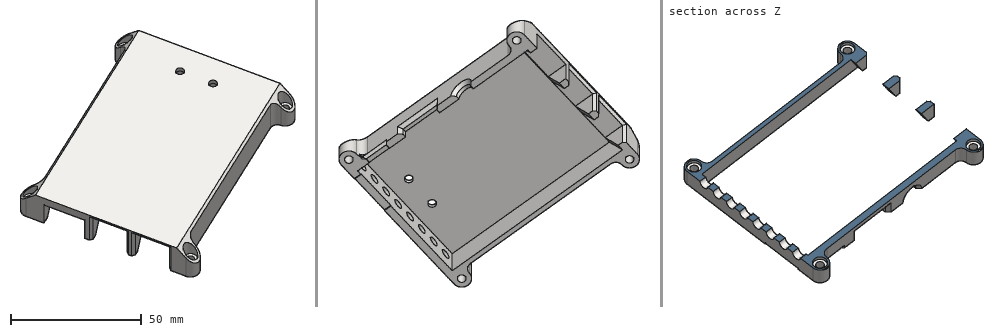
import cadquery as cq
import math

LENGTH = 90.6
HEIGHT = 15.0
BODY_WIDTH = 62.0
OVERLAP = 1.0

LUG_RADIUS = 3.8
LUG_X = 34.0
LUG_Y = LENGTH / 2 - LUG_RADIUS
LUG_BLEND = LUG_X - BODY_WIDTH / 2
SCREW_DIAMETER = 3.3
SCREW_HEAD_DIAMETER = 5.6
SCREW_SEAT_Z = 6.2
OVERALL_WIDTH = 2 * (LUG_X + LUG_RADIUS)

TOP_WIDTH = 60.0
SLOPE = (OVERALL_WIDTH - TOP_WIDTH) / 2

LEFT_WALL = 3.0
RIGHT_WALL = 2.0
END_WALL = 3.2
ROOF = 2.0
CAVITY_HEIGHT = HEIGHT - ROOF
FRONT_LEAN = 6.5

LIGHT_DIAMETER = 3.3
LIGHT_X = 7.0
LIGHT_Y = 34.0

VENT_DIAMETER = 4.0
VENT_COUNT = 8
VENT_PITCH = 7.15
VENT_Z = 7.5

BEVEL_ANGLE = 45

FRONT_OPENINGS = [
    (-26.4, -9.1, 10.9, 0.0),
    (-7.1, 9.55, 14.0, 1.1),
    (10.8, 27.5, 14.0, 1.1),
]

LEFT_OPENINGS = [
    (25.3, 37.4, 1.4, 1.1),
    (0.1, 19.9, 5.5, 1.5),
]
ROUND_OPENING_Y = -11.5
ROUND_OPENING_RADIUS = 5.0
ROUND_OPENING_BEVEL = 1.5

RELIEF_X_START = -26.0
RELIEF_X_END = -8.0
RELIEF_HEIGHT = 0.5


def back_right_lug():
    """Back-right lug with its concave blend into the body side."""
    body_side = BODY_WIDTH / 2
    inner_edge = LUG_Y - LUG_RADIUS
    blend_mid_offset = LUG_BLEND * (1 - math.cos(math.radians(45)))
    blend_middle = (LUG_X - LUG_BLEND * math.cos(math.radians(45)), inner_edge - blend_mid_offset)
    return (
        cq.Workplane("XY")
        .moveTo(0, LUG_Y + LUG_RADIUS)
        .lineTo(LUG_X, LUG_Y + LUG_RADIUS)
        .threePointArc((LUG_X + LUG_RADIUS, LUG_Y), (LUG_X, inner_edge))
        .threePointArc(blend_middle, (body_side, inner_edge - LUG_BLEND))
        .lineTo(0, inner_edge - LUG_BLEND)
        .close()
        .extrude(HEIGHT)
    )


def outer_block():
    """Body with four lugs, trimmed by the sloping long edges."""
    block = cq.Workplane("XY").box(BODY_WIDTH, LENGTH, HEIGHT, centered=(True, True, False))
    right_lugs = back_right_lug().union(back_right_lug().mirror("XZ"))
    block = block.union(right_lugs).union(right_lugs.mirror("YZ"))
    envelope = (
        cq.Workplane("XZ")
        .moveTo(-OVERALL_WIDTH / 2, 0)
        .lineTo(OVERALL_WIDTH / 2, 0)
        .lineTo(OVERALL_WIDTH / 2, HEIGHT - SLOPE)
        .lineTo(TOP_WIDTH / 2, HEIGHT)
        .lineTo(-TOP_WIDTH / 2, HEIGHT)
        .lineTo(-OVERALL_WIDTH / 2, HEIGHT - SLOPE)
        .close()
        .extrude(LENGTH / 2, both=True)
    )
    return block.intersect(envelope)


def cavity():
    """Hollow inside, with the front wall leaning inward towards the roof."""
    front = -LENGTH / 2 + END_WALL
    back = LENGTH / 2 - END_WALL
    left = -BODY_WIDTH / 2 + LEFT_WALL
    right = BODY_WIDTH / 2 - RIGHT_WALL
    return (
        cq.Workplane("YZ", origin=(left, 0, 0))
        .moveTo(front, 0)
        .lineTo(back, 0)
        .lineTo(back, CAVITY_HEIGHT)
        .lineTo(front + FRONT_LEAN, CAVITY_HEIGHT)
        .close()
        .extrude(right - left)
    )


def wall_cutter(make_outline, bevel, depth, clearance):
    """Straight opening outside the wall, narrowing by the bevel, then straight to the given depth."""
    cutter = make_outline(0).extrude(-clearance)
    if bevel > 0:
        cutter = cutter.union(make_outline(0).extrude(bevel, taper=BEVEL_ANGLE))
    return cutter.union(make_outline(bevel).extrude(depth))


def rectangular_opening(plane, start, end, top, bevel, depth, clearance):
    """Rectangular opening reaching from the bottom edge up to the given top."""

    def outline(inset):
        return (
            cq.Workplane(plane)
            .center((start + end) / 2, 0)
            .rect(end - start - 2 * inset, 2 * (top - inset))
        )

    return wall_cutter(outline, bevel, depth, clearance)


def front_openings():
    """Cutters for the three front openings, deep enough to pass the leaning wall."""
    plane = cq.Plane(origin=(0, -LENGTH / 2, 0), xDir=(-1, 0, 0), normal=(0, 1, 0))
    depth = END_WALL + FRONT_LEAN
    cutters = cq.Workplane("XY")
    for start, end, top, bevel in FRONT_OPENINGS:
        cutters = cutters.union(rectangular_opening(plane, -end, -start, top, bevel, depth, OVERLAP))
    return cutters


def left_openings():
    """Cutters for the rectangular and half-round openings in the left wall."""
    plane = cq.Plane(origin=(-BODY_WIDTH / 2, 0, 0), xDir=(0, 1, 0), normal=(1, 0, 0))
    depth = LEFT_WALL + OVERLAP
    clearance = OVERALL_WIDTH / 2 - BODY_WIDTH / 2

    def round_outline(inset):
        return cq.Workplane(plane).center(ROUND_OPENING_Y, 0).circle(ROUND_OPENING_RADIUS - inset)

    cutters = wall_cutter(round_outline, ROUND_OPENING_BEVEL, depth, clearance)
    for start, end, top, bevel in LEFT_OPENINGS:
        cutters = cutters.union(rectangular_opening(plane, start, end, top, bevel, depth, clearance))
    return cutters


def back_wall_cutters():
    """Row of round vents and the shallow relief along the bottom edge."""
    depth = END_WALL + OVERLAP
    face = cq.Workplane("XZ", origin=(0, LENGTH / 2, 0))
    vents = (
        face.center(0, VENT_Z)
        .rarray(VENT_PITCH, 1, VENT_COUNT, 1)
        .circle(VENT_DIAMETER / 2)
        .extrude(depth)
    )
    relief = (
        face.center((RELIEF_X_START + RELIEF_X_END) / 2, 0)
        .rect(RELIEF_X_END - RELIEF_X_START, 2 * RELIEF_HEIGHT)
        .extrude(depth)
    )
    return vents.union(relief)


def roof_holes():
    """Two small through holes near the back edge of the roof."""
    return (
        cq.Workplane("XY")
        .pushPoints([(-LIGHT_X, LIGHT_Y), (LIGHT_X, LIGHT_Y)])
        .circle(LIGHT_DIAMETER / 2)
        .extrude(HEIGHT)
    )


def screw_holes():
    """Through holes with flat-bottomed head recesses in the lugs."""
    lugs = cq.Workplane("XY").rarray(2 * LUG_X, 2 * LUG_Y, 2, 2)
    shanks = lugs.circle(SCREW_DIAMETER / 2).extrude(HEIGHT)
    heads = (
        cq.Workplane("XY", origin=(0, 0, SCREW_SEAT_Z))
        .rarray(2 * LUG_X, 2 * LUG_Y, 2, 2)
        .circle(SCREW_HEAD_DIAMETER / 2)
        .extrude(HEIGHT)
    )
    return shanks.union(heads)


result = (
    outer_block()
    .cut(cavity())
    .cut(front_openings())
    .cut(left_openings())
    .cut(back_wall_cutters())
    .cut(roof_holes())
    .cut(screw_holes())
)